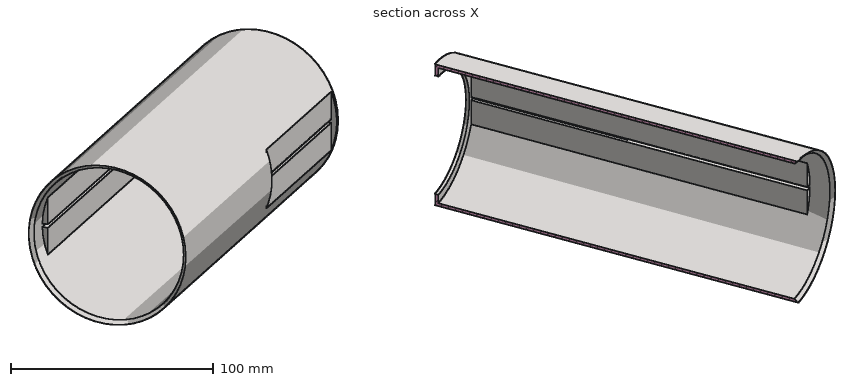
import cadquery as cq

length = 200.0
outer_diameter = 84.0
bore_diameter = 80.0
lip_diameter = 70.0
lip_thickness = 2.0
mouth_depth = 2.0

rail_face_x = 37.0
rail_setback = 13.0
groove_width = 1.8

flat_x = 39.0
flat_end_distance = 87.0

front_y = -length / 2
back_y = length / 2
lip_y = back_y - lip_thickness
outer_radius = outer_diameter / 2
bore_radius = bore_diameter / 2


def cylinder(diameter, start_y, end_y):
    """Solid cylinder along Y between two stations."""
    profile = cq.Workplane("XZ", origin=(0, start_y, 0)).circle(diameter / 2)
    return profile.extrude(start_y - end_y)


def block(size_x, start_y, end_y, size_z):
    """Block centred on X and Z between two Y stations."""
    centre_y = (start_y + end_y) / 2
    return cq.Workplane("XY").box(size_x, end_y - start_y, size_z).translate((0, centre_y, 0))


def make_mouth_cutter():
    """Cone that flares the bore out to a sharp outer edge at the front end."""
    half_section = cq.Workplane("XY").polyline([
        (0, front_y),
        (outer_radius, front_y),
        (bore_radius, front_y + mouth_depth),
        (0, front_y + mouth_depth),
    ]).close()
    return half_section.revolve(360, (0, 0, 0), (0, 1, 0))


def make_tube():
    """Tube with a flared front mouth and an inward lip at its back end."""
    tube = cylinder(outer_diameter, front_y, back_y)
    tube = tube.cut(cylinder(bore_diameter, front_y, lip_y))
    tube = tube.cut(make_mouth_cutter())
    return tube.cut(cylinder(lip_diameter, lip_y, back_y))


def make_rails():
    """Bore segments beyond the rail faces, each split by a central groove."""
    rail_front_y = front_y + rail_setback
    rails = cylinder(bore_diameter, rail_front_y, lip_y)
    rails = rails.cut(block(2 * rail_face_x, rail_front_y, lip_y, outer_diameter))
    return rails.cut(block(bore_diameter, rail_front_y, lip_y, groove_width))


def make_flat_cutter():
    """Block that removes the wall beyond the flat, up to the lip."""
    depth = outer_radius - flat_x
    cutter = block(depth, back_y - flat_end_distance, lip_y, outer_diameter)
    return cutter.translate((flat_x + depth / 2, 0, 0))


result = make_tube().union(make_rails()).cut(make_flat_cutter())